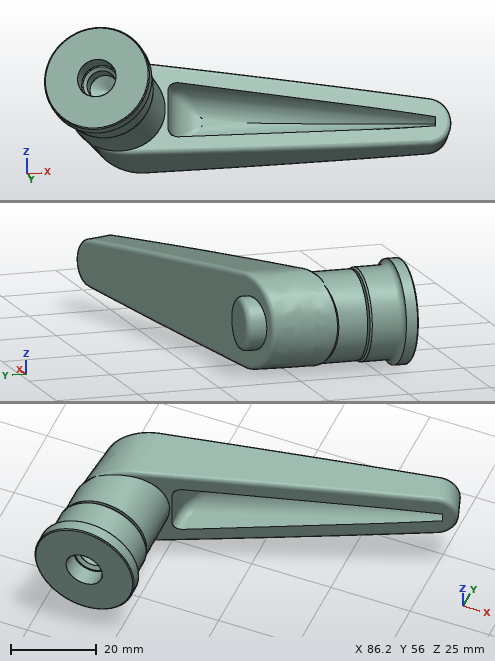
import cadquery as cq
import math


flange_radius = 12.5
flange_height = 3.0
flange_edge = 0.3
foot_radius = 11.1
cove_radius = flange_radius - foot_radius
foot_height = 11.4
foot_chamfer = 0.4
neck_radius = 8.0
neck_top = 12.0

hole_radius = 3.45
hole_depth = 8.6
hole_chamfer = 0.8
counterbore_radius = 4.6
counterbore_depth = 4.5
drill_tip_angle = 118.0

hub_radius = 10.8
hub_cover = 1.2
cap_radius = 6.4
cap_top = 40.0
cap_fillet = 1.4

root_radius = 11.55
root_lean = 5.0
root_base_x = -0.5
tip_radius = 5.8
tip_lean = -18.3
tip_base_x = 84.4
plan_bottom = 8.6
plan_top = 64.7
upper_slope = 15.0
upper_start = 37.0
lower_slope = 20.2
lower_start = 21.8
reach = 94.8
arm_fillet = 1.0

roof_thickness = 4.3
floor_fillet = 5.2
end_fillet = 7.8
hub_wall = 11.4
pocket_start = 12.6
pocket_end = 70.9
pocket_start_half_width = 6.5
pocket_end_half_width = 1.4
pocket_corner = 2.15


def cylinder(radius, bottom, top):
    """Cylinder on the Y axis between two heights."""
    return cq.Workplane("XZ", origin=(0, bottom, 0)).circle(radius).extrude(bottom - top)


def make_foot():
    """Flanged foot with a neck on top and a blind drilled hole below."""
    cove_top = flange_height + cove_radius
    cove_mid = cove_radius * (1 - math.sqrt(0.5))
    tip_depth = hole_radius / math.tan(math.radians(drill_tip_angle / 2))
    profile = (
        cq.Workplane("XY")
        .moveTo(counterbore_radius, 0)
        .lineTo(flange_radius - flange_edge, 0)
        .lineTo(flange_radius, flange_edge)
        .lineTo(flange_radius, flange_height)
        .threePointArc((foot_radius + cove_mid, flange_height + cove_mid), (foot_radius, cove_top))
        .lineTo(foot_radius, foot_height - foot_chamfer)
        .lineTo(foot_radius - foot_chamfer, foot_height)
        .lineTo(neck_radius, foot_height)
        .lineTo(neck_radius, neck_top)
        .lineTo(0, neck_top)
        .lineTo(0, hole_depth + tip_depth)
        .lineTo(hole_radius, hole_depth)
        .lineTo(hole_radius, counterbore_depth + hole_chamfer)
        .lineTo(hole_radius + hole_chamfer, counterbore_depth)
        .lineTo(counterbore_radius, counterbore_depth)
        .close()
    )
    return profile.revolve(360, (0, 0, 0), (0, 1, 0))


def plan_wire(height):
    """Root and tip circles joined by their outer tangents, at one height."""
    root_x = root_base_x + height * math.tan(math.radians(root_lean))
    tip_x = tip_base_x + height * math.tan(math.radians(tip_lean))
    sin_taper = (root_radius - tip_radius) / (tip_x - root_x)
    cos_taper = math.sqrt(1 - sin_taper**2)
    root_tangent = (root_x + root_radius * sin_taper, root_radius * cos_taper)
    tip_tangent = (tip_x + tip_radius * sin_taper, tip_radius * cos_taper)
    return (
        cq.Workplane("XZ", origin=(0, height, 0))
        .moveTo(root_tangent[0], -root_tangent[1])
        .lineTo(tip_tangent[0], -tip_tangent[1])
        .threePointArc((tip_x + tip_radius, 0), tip_tangent)
        .lineTo(*root_tangent)
        .threePointArc((root_x - root_radius, 0), (root_tangent[0], -root_tangent[1]))
        .close()
        .val()
    )


def make_arm():
    """Tapered arm cut to a wedge by its upper and lower faces."""
    plan = cq.Solid.makeLoft([plan_wire(plan_bottom), plan_wire(plan_top)], True)
    upper_rise = math.tan(math.radians(upper_slope))
    lower_rise = math.tan(math.radians(lower_slope))
    left = -2 * root_radius
    wedge = (
        cq.Workplane("XY")
        .moveTo(left, lower_start + left * lower_rise)
        .lineTo(reach, lower_start + reach * lower_rise)
        .lineTo(reach, upper_start + reach * upper_rise)
        .lineTo(left, upper_start + left * upper_rise)
        .close()
        .extrude(reach, both=True)
    )
    arm = wedge.intersect(cq.Workplane(plan))
    rims = arm.faces(">Y or <Y").edges()
    return rims.fillet(arm_fillet)


def make_pocket():
    """Tapered pocket whose rounded walls meet in a crease towards the tip."""
    slope = math.radians(upper_slope)
    deck = cq.Plane(
        origin=(0, upper_start, 0),
        xDir=(math.cos(slope), math.sin(slope), 0),
        normal=(math.sin(slope), -math.cos(slope), 0),
    )
    length = pocket_end - pocket_start
    taper = math.degrees(math.atan2(pocket_start_half_width - pocket_end_half_width, length))

    def side_block(side):
        """Block bounded by one side wall, with a rounded floor edge along it."""
        block = (
            cq.Workplane("XY")
            .box(2 * reach, reach, reach, centered=(True, False, False))
            .edges("|X and <Y and <Z")
            .fillet(floor_fillet)
            .rotate((0, 0, 0), (0, 0, 1), taper)
            .translate((pocket_start, -pocket_start_half_width, roof_thickness))
        )
        return block if side < 0 else block.mirror("XZ")

    def end_block():
        """Block between the wall beside the hub and the wall at the tip."""
        wall_along_deck = (hub_wall - roof_thickness * math.sin(slope)) / math.cos(slope)
        floor_start = deck.toWorldCoords((wall_along_deck, 0, roof_thickness))
        floor_end = deck.toWorldCoords((pocket_end, 0, roof_thickness))
        tip_opening = deck.toWorldCoords((pocket_end, 0, reach))
        profile = (
            cq.Workplane("XY")
            .moveTo(hub_wall, tip_opening.y)
            .lineTo(hub_wall, floor_start.y)
            .lineTo(floor_end.x, floor_end.y)
            .lineTo(tip_opening.x, tip_opening.y)
            .close()
        )
        block = profile.extrude(root_radius, both=True)
        corner = cq.selectors.NearestToPointSelector((hub_wall, floor_start.y, 0))
        return block.edges("|Z").edges(corner).fillet(end_fillet)

    sides = side_block(-1).intersect(side_block(1))
    tilted_sides = cq.Workplane(sides.val().moved(cq.Location(deck)))
    pocket = end_block().intersect(tilted_sides)
    return pocket.faces("<X").edges("not |Z").fillet(pocket_corner)


def make_hub():
    """Upright hub that ends just inside the lower face of the arm."""
    lower_rise = math.tan(math.radians(lower_slope))
    cut_start = lower_start + hub_cover
    below_arm = (
        cq.Workplane("XY")
        .moveTo(-hub_radius, neck_top)
        .lineTo(hub_radius, neck_top)
        .lineTo(hub_radius, cut_start + hub_radius * lower_rise)
        .lineTo(-hub_radius, cut_start - hub_radius * lower_rise)
        .close()
        .extrude(hub_radius, both=True)
    )
    return cylinder(hub_radius, neck_top, cap_top).intersect(below_arm)


def make_lever():
    """Arm with its pocket, hub and cap as one body."""
    cap = cylinder(cap_radius, neck_top, cap_top).faces(">Y").edges().fillet(cap_fillet)
    return make_arm().cut(make_pocket()).union(make_hub()).union(cap)


foot = make_foot()
lever = make_lever()
result = cq.Compound.makeCompound([foot.val(), lever.val()])